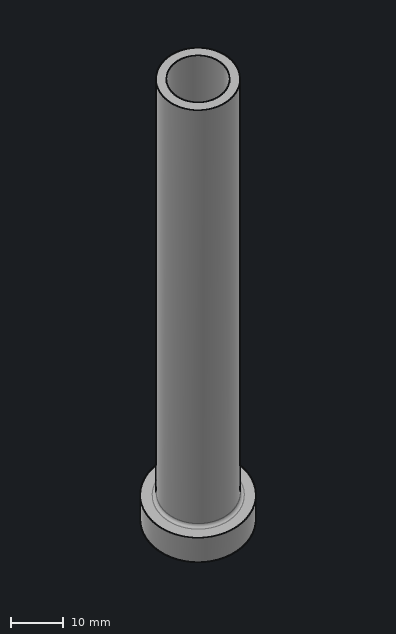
import cadquery as cq

total_length = 125.0
head_diameter = 22.0
head_height = 7.0
shank_diameter = 16.0
bore_diameter = 12.0
root_fillet = 0.8

head = cq.Workplane("XY").circle(head_diameter / 2).extrude(head_height)

shank = cq.Workplane("XY").circle(shank_diameter / 2).extrude(total_length)

body = head.union(shank)
collar_top = body.faces("%PLANE").faces("<Z[1]")
root_edge = collar_top.edges(cq.selectors.RadiusNthSelector(0))
body = root_edge.fillet(root_fillet)

bore = cq.Workplane("XY").circle(bore_diameter / 2).extrude(total_length)

result = body.cut(bore)